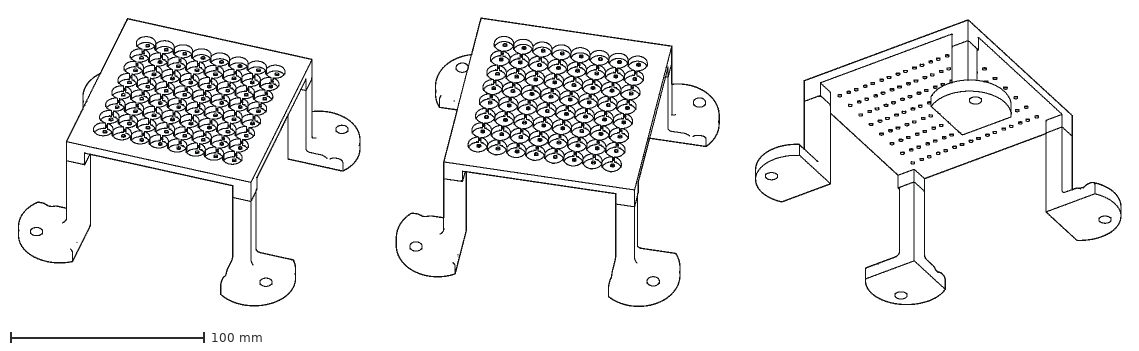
import cadquery as cq
import math

overall_width = 148.9
overall_height = 63.5

plate_width = 100.6
plate_thickness = 5.2
corner_block_height = 13.2
leg_width = 10.0
cup_count = 8
cup_span = 70.4
cup_diameter = 10.1
cup_depth = 4.0
lead_hole_diameter = 2.0
lead_hole_spacing = 5.5

foot_radius = 21.5
foot_thickness = 8.0
fillet_radius = 2.0
bolt_hole_diameter = 6.4
bolt_hole_position = 62.5
bolt_grid_pitch = 25.3
leg_count = 4

cup_pitch = cup_span / (cup_count - 1)
plate_half = plate_width / 2
leg_inner = plate_half - leg_width
leg_center = plate_half - leg_width / 2
leg_height = overall_height - corner_block_height
foot_center = overall_width / 2 - foot_radius
notch_position = bolt_hole_position - bolt_grid_pitch


def make_plate():
    """Square plate with a block under each corner and a grid of cups, each with two lead holes."""
    plate = (
        cq.Workplane("XY", origin=(0, 0, overall_height))
        .rect(plate_width, plate_width)
        .extrude(-plate_thickness)
    )
    corner_blocks = (
        cq.Workplane("XY", origin=(0, 0, leg_height))
        .rect(2 * leg_center, 2 * leg_center, forConstruction=True)
        .vertices()
        .rect(leg_width, leg_width)
        .extrude(corner_block_height)
    )
    cup = cq.Solid.makeCylinder(cup_diameter / 2, cup_depth, cq.Vector(0, 0, overall_height - cup_depth))
    cups = (
        cq.Workplane("XY")
        .rarray(cup_pitch, cup_pitch, cup_count, cup_count)
        .eachpoint(lambda location: cup.moved(location))
    )
    plate = plate.union(corner_blocks)
    plate = plate.newObject([plate.val().cut(*cups.vals())])
    for side in (-1, 1):
        lead_holes = (
            cq.Workplane("XY", origin=(0, side * lead_hole_spacing / 2, overall_height))
            .rarray(cup_pitch, cup_pitch, cup_count, cup_count)
            .circle(lead_hole_diameter / 2)
            .extrude(-plate_thickness)
        )
        plate = plate.cut(lead_holes)
    return plate


def foot_blank():
    """Disc trimmed by the two inner planes of the leg at the -X, +Y corner."""
    disc = cq.Workplane("XY").center(-foot_center, foot_center).circle(foot_radius).extrude(foot_thickness)
    quadrant = (
        cq.Workplane("XY")
        .center(-leg_inner, leg_inner)
        .rect(-overall_width, overall_width, centered=False)
        .extrude(foot_thickness)
    )
    return disc.intersect(quadrant)


def bolt_hole(x, y):
    return cq.Workplane("XY").center(x, y).circle(bolt_hole_diameter / 2).extrude(foot_thickness)


def make_leg():
    """Leg and foot at the -X, +Y corner."""
    post = (
        cq.Workplane("XY")
        .center(-leg_center, leg_center)
        .rect(leg_width, leg_width)
        .extrude(leg_height)
    )
    leg = foot_blank().union(post)

    mid_height = (foot_thickness + leg_height) / 2
    foot_reach = foot_center + math.sqrt(foot_radius**2 - (foot_center - leg_inner) ** 2)
    rim_offset = foot_radius * math.sqrt(0.5)
    rounded_points = [
        (-foot_center - rim_offset, foot_center + rim_offset, foot_thickness),
        (-(foot_reach + plate_half) / 2, leg_inner, foot_thickness),
        (-plate_half, leg_center, foot_thickness),
        (-leg_center, plate_half, foot_thickness),
        (-plate_half, leg_inner, mid_height),
    ]
    rounded_edges = cq.Workplane("XY")
    for point in rounded_points:
        rounded_edges = rounded_edges.add(leg.edges(cq.selectors.NearestToPointSelector(point)))
    leg = leg.newObject([leg.val().fillet(fillet_radius, rounded_edges.vals())])

    leg = leg.cut(bolt_hole(-bolt_hole_position, bolt_hole_position))
    leg = leg.cut(bolt_hole(-bolt_hole_position, notch_position))
    leg = leg.cut(bolt_hole(-notch_position, bolt_hole_position))

    notch_bottom = (-notch_position - bolt_hole_diameter / 2, bolt_hole_position, foot_thickness)
    notch_edge = leg.edges(cq.selectors.NearestToPointSelector(notch_bottom))
    return leg.newObject([leg.val().fillet(fillet_radius, notch_edge.vals())])


plate = make_plate()
corner_leg = make_leg()
legs = [
    corner_leg.rotate((0, 0, 0), (0, 0, 1), index * 360 / leg_count).val()
    for index in range(leg_count)
]

result = cq.Compound.makeCompound([plate.val(), *legs])